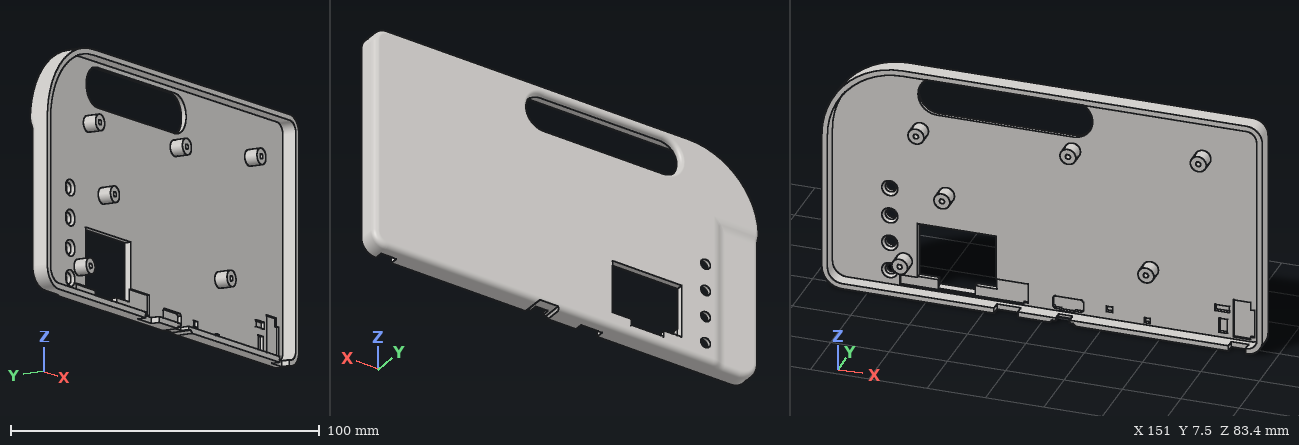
import cadquery as cq
import math

width = 151.0
depth = 7.5
height = 83.4
wall = 2.0
floor_thickness = 2.5
floor_y = depth - floor_thickness
big_corner_radius = 27.8
bottom_left_radius = 7.0
right_corner_radius = 5.5
back_edge_radius = 2.0

step_depth = 1.0
step_z = 56.5
step_x = 18.1
blend_length = 4.5
thin_y = depth - step_depth

post_diameter = 5.5
post_hole_diameter = 1.7
post_front_y = 0.3
post_centers = [(32.2, 60.0), (84.3, 61.5), (129.0, 66.5), (41.1, 37.8), (111.0, 22.7), (26.6, 11.3)]

light_count = 4
light_pitch = 10.0
light_x = 21.6
light_bottom_z = 7.0
light_diameter = 3.6
light_mouth_diameter = 5.5
countersink_depth = 0.9

handle_left = 31.3
handle_length = 59.8
handle_bottom = 66.5
handle_height = 13.3
handle_edge_radius = 1.5

window_left = 31.0
window_right = 58.0
window_bottom = 5.9
window_top = 25.5
notch_left = 37.9
notch_right = 50.6
notch_front_z = 2.4
notch_back_z = 3.6

pocket_bottom = 2.3
card_pocket_depth = 0.8
card_pocket_left = 25.1
card_pocket_right = 69.0
card_pocket_top = 10.0
port_pocket_depth = 1.2
port_pocket_bottom = 2.7
small_pocket_depth = 1.2

port_cut_depth = 3.0


def rounded_outline(inset, y, length):
    """Solid of the case outline moved inward by inset, from Y = y over the given length."""
    left, right = inset, width - inset
    bottom, top = inset, height - inset
    r_big = big_corner_radius - inset
    r_left = bottom_left_radius - inset
    r_right = right_corner_radius - inset
    k = math.sqrt(0.5)

    def mid(center_x, center_z, radius, sign_x, sign_z):
        return (center_x + sign_x * radius * k, center_z + sign_z * radius * k)

    return (
        cq.Workplane("XZ", origin=(0, y, 0))
        .moveTo(left, bottom + r_left)
        .lineTo(left, top - r_big)
        .threePointArc(mid(left + r_big, top - r_big, r_big, -1, 1), (left + r_big, top))
        .lineTo(right - r_right, top)
        .threePointArc(mid(right - r_right, top - r_right, r_right, 1, 1), (right, top - r_right))
        .lineTo(right, bottom + r_right)
        .threePointArc(mid(right - r_right, bottom + r_right, r_right, 1, -1), (right - r_right, bottom))
        .lineTo(left + r_left, bottom)
        .threePointArc(mid(left + r_left, bottom + r_left, r_left, -1, -1), (left, bottom + r_left))
        .close()
        .extrude(-length)
    )


def block(x0, x1, z0, z1, y0, y1):
    return cq.Workplane("XY").box(x1 - x0, y1 - y0, z1 - z0, centered=False).translate((x0, y0, z0))


def cylinder(x, z, diameter, y0, y1):
    return cq.Workplane("XZ", origin=(x, y0, z)).circle(diameter / 2).extrude(y0 - y1)


def floor_pocket(x0, x1, z0, z1, pocket_depth):
    return block(x0, x1, z0, z1, floor_y, floor_y + pocket_depth)


def step_cutter(plane, edge):
    """Material behind the S-shaped step profile; the blend runs from edge down to edge - blend_length."""
    half = blend_length / 2
    half_step = step_depth / 2
    angle = 2 * math.atan(half_step / half)
    radius = half / math.sin(angle)
    quarter_run = radius * math.sin(angle / 2)
    quarter_drop = radius * (1 - math.cos(angle / 2))

    def point(along, y):
        return (y, along) if plane == "YZ" else (along, y)

    start = -1.5
    return (
        cq.Workplane(plane, origin=(-1.5, 0, 0) if plane == "YZ" else (0, 0, -1.5))
        .moveTo(*point(edge, depth))
        .threePointArc(point(edge - quarter_run, depth - quarter_drop), point(edge - half, depth - half_step))
        .threePointArc(
            point(edge - blend_length + quarter_run, thin_y + quarter_drop), point(edge - blend_length, thin_y)
        )
        .lineTo(*point(start, thin_y))
        .lineTo(*point(start, depth + 1.5))
        .lineTo(*point(edge, depth + 1.5))
        .close()
        .extrude(width + 3)
    )


body = rounded_outline(0, 0, depth).cut(step_cutter("YZ", step_z).intersect(step_cutter("XY", step_x)))
back_region = cq.selectors.BoxSelector((-1.5, thin_y - 0.2, -1.5), (width + 1.5, depth + 1.5, height + 1.5))
body = body.edges(back_region).fillet(back_edge_radius)
body = body.cut(rounded_outline(wall, 0, floor_y))

handle = (
    cq.Workplane("XZ")
    .center(handle_left + handle_length / 2, handle_bottom + handle_height / 2)
    .slot2D(handle_length, handle_height)
    .extrude(-depth)
)
body = body.cut(handle)
rim = cq.selectors.BoxSelector(
    (handle_left - 1.5, depth - 0.2, handle_bottom - 1.5),
    (handle_left + handle_length + 1.5, depth + 0.2, handle_bottom + handle_height + 1.5),
)
body = body.edges(rim).fillet(handle_edge_radius)

body = body.cut(floor_pocket(card_pocket_left, 67.5, pocket_bottom, window_bottom, card_pocket_depth))
body = body.cut(floor_pocket(window_right - 1.5, card_pocket_right, 3.0, card_pocket_top, card_pocket_depth))
body = body.cut(block(window_left, window_right, window_bottom, window_top, floor_y, depth))
notch = (
    cq.Workplane("YZ", origin=(notch_left, 0, 0))
    .polyline([(floor_y, notch_front_z), (depth, notch_back_z), (depth, window_bottom), (floor_y, window_bottom)])
    .close()
    .extrude(notch_right - notch_left)
)
body = body.cut(notch)

body = body.cut(floor_pocket(139.5, 145.3, 2.7, 16.3, card_pocket_depth))
body = body.cut(floor_pocket(145.3, 146.7, 3.6, 13.6, card_pocket_depth))
port_pocket = floor_pocket(77.5, 88.0, port_pocket_bottom, 7.3, port_pocket_depth).edges("|Y").chamfer(0.8)
body = body.cut(port_pocket)
body = body.cut(floor_pocket(80.2, 84.9, pocket_bottom, 3.0, port_pocket_depth))
for x0, x1, z0, z1 in [(133.1, 138.0, 11.3, 13.6), (134.5, 137.3, 3.6, 8.8), (95.8, 98.0, 4.5, 6.5), (108.9, 110.9, 2.7, 4.5)]:
    body = body.cut(floor_pocket(x0, x1, z0, z1, small_pocket_depth))

for x0, x1 in [(59.0, 67.2), (80.2, 84.9), (139.5, 145.3)]:
    body = body.cut(block(x0, x1, 0, wall, 0, port_cut_depth))
plug = cq.Workplane("XZ").polyline([(78.2, 0), (87.0, 0), (86.1, 0.9), (79.0, 0.9)]).close().extrude(-depth)
body = body.cut(plug)

for i in range(light_count):
    z = light_bottom_z + i * light_pitch
    countersink = (
        cq.Workplane("XZ", origin=(light_x, floor_y, z))
        .circle(light_mouth_diameter / 2)
        .workplane(offset=-countersink_depth)
        .circle(light_diameter / 2)
        .loft()
    )
    body = body.cut(countersink).cut(cylinder(light_x, z, light_diameter, floor_y, depth))

for x, z in post_centers:
    body = body.union(cylinder(x, z, post_diameter, post_front_y, floor_y))
    body = body.cut(cylinder(x, z, post_hole_diameter, post_front_y, floor_y))

result = body